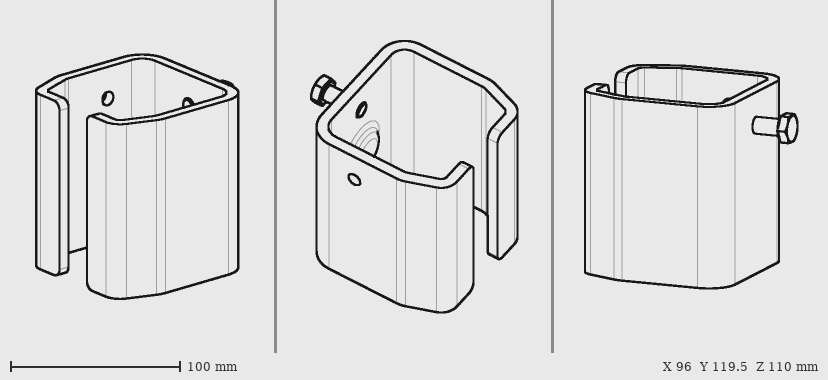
import cadquery as cq
import math

WIDTH = 96.0
DEPTH = 96.1
HEIGHT = 110.0
WALL = 7.0
BACK_BEND = 16.7
SIDE_BEND = 16.7
LIP_BEND = 11.1
TAPER_ANGLE = math.radians(20)
TAPER_START = 27.8
SLOT_WIDTH = 25.1
LIP_CORNER = 5.0
BEND_SEARCH = 0.7
CENTRE_X = 0.0
BACK_INNER = DEPTH - WALL

HOLE_DIAMETER = 8.4
HOLE_FROM_BACK = 35.0
FROM_TOP = 20.0
FEATURE_Z = HEIGHT - FROM_TOP

DIMPLE_TIP_DIAMETER = 19.1
DIMPLE_ROUND = 5.1
DIMPLE_CONE = 2.0

TOTAL_DEPTH = 119.5
SHANK_DIAMETER = 10.0
TIP_DIAMETER = 8.4
ACROSS_FLATS = 15.9
HEAD_HEIGHT = 5.7
COLLAR_DIAMETER = 14.6
COLLAR_HEIGHT = 0.7
HEAD_CHAMFER_ANGLE = math.radians(30)


def section(inset):
    """Closed, rounded section of the channel, inset from its outer surface."""
    half = WIDTH / 2 - inset
    front = inset
    back = DEPTH - inset
    taper_y = TAPER_START + inset * math.tan(TAPER_ANGLE / 2)
    front_half = half - (taper_y - front) * math.tan(TAPER_ANGLE)
    corners = [
        (front_half, front),
        (half, taper_y),
        (half, back),
        (-half, back),
        (-half, taper_y),
        (-front_half, front),
    ]
    solid = cq.Workplane("XY").polyline(corners).close().extrude(HEIGHT)
    solid = solid.edges("|Z").edges(">Y").fillet(BACK_BEND - inset)
    solid = solid.edges("|Z").edges("<Y").fillet(LIP_BEND - inset)
    side_bends = cq.selectors.BoxSelector(
        (-WIDTH, taper_y - BEND_SEARCH, 0), (WIDTH, taper_y + BEND_SEARCH, HEIGHT)
    )
    return solid.edges("|Z").edges(side_bends).fillet(SIDE_BEND - inset)


def make_slot():
    """Cutter for the front opening, flared by the rounded lip corners."""
    half = SLOT_WIDTH / 2
    arc = LIP_CORNER * math.sqrt(0.5)
    near = LIP_CORNER - arc
    wide = half + LIP_CORNER
    top = HEIGHT - LIP_CORNER
    return (
        cq.Workplane("XZ")
        .moveTo(-wide, 0)
        .lineTo(wide, 0)
        .threePointArc((half + near, near), (half, LIP_CORNER))
        .lineTo(half, top)
        .threePointArc((half + near, HEIGHT - near), (wide, HEIGHT))
        .lineTo(-wide, HEIGHT)
        .threePointArc((-half - near, HEIGHT - near), (-half, top))
        .lineTo(-half, LIP_CORNER)
        .threePointArc((-half - near, near), (-wide, 0))
        .close()
        .extrude(-WALL)
    )


def make_dimple():
    """Dimple rising from the inner back face toward -Y."""
    step = DIMPLE_ROUND * math.sin(math.pi / 4)
    drop = DIMPLE_ROUND - step
    mid_run = DIMPLE_ROUND * math.sin(math.pi / 8)
    mid_drop = DIMPLE_ROUND * (1 - math.cos(math.pi / 8))
    tip = DIMPLE_TIP_DIAMETER / 2
    base = tip + 2 * step + DIMPLE_CONE
    tip_y = BACK_INNER - 2 * drop - DIMPLE_CONE
    embed_y = BACK_INNER + WALL / 2
    profile = (
        cq.Workplane("XY")
        .moveTo(0, tip_y)
        .lineTo(tip, tip_y)
        .threePointArc((tip + mid_run, tip_y + mid_drop), (tip + step, tip_y + drop))
        .lineTo(base - step, BACK_INNER - drop)
        .threePointArc((base - mid_run, BACK_INNER - mid_drop), (base, BACK_INNER))
        .lineTo(base, embed_y)
        .lineTo(0, embed_y)
        .close()
    )
    dimple = profile.revolve(360, (0, 0, 0), (0, 1, 0))
    return dimple.translate((CENTRE_X, 0, HEIGHT / 2))


def make_channel():
    channel = section(0).cut(section(WALL)).cut(make_slot()).union(make_dimple())
    bolt_hole = (
        cq.Workplane("XZ", origin=(CENTRE_X, DEPTH, FEATURE_Z))
        .circle(SHANK_DIAMETER / 2)
        .extrude(WALL)
    )
    side_hole = (
        cq.Workplane("YZ", origin=(-WIDTH / 2, DEPTH - HOLE_FROM_BACK, FEATURE_Z))
        .circle(HOLE_DIAMETER / 2)
        .extrude(WALL)
    )
    return channel.cut(bolt_hole).cut(side_hole)


def make_bolt():
    """Hexagon bolt whose chamfered tip stands just inside the back wall."""
    tip_chamfer = (SHANK_DIAMETER - TIP_DIAMETER) / 2
    head_y = TOTAL_DEPTH - HEAD_HEIGHT
    tip_y = BACK_INNER - tip_chamfer
    corner_diameter = ACROSS_FLATS / math.cos(math.pi / 6)
    chamfer_width = (corner_diameter - ACROSS_FLATS) / 2
    chamfer_height = chamfer_width * math.tan(HEAD_CHAMFER_ANGLE)

    def base(y):
        return cq.Workplane("XZ", origin=(CENTRE_X, y, FEATURE_Z))

    head = base(TOTAL_DEPTH).polygon(6, corner_diameter).extrude(HEAD_HEIGHT)
    envelope = (
        base(TOTAL_DEPTH)
        .circle(corner_diameter / 2)
        .extrude(HEAD_HEIGHT)
        .faces(">Y")
        .chamfer(chamfer_height, chamfer_width)
    )
    head = head.intersect(envelope)
    collar = base(head_y).circle(COLLAR_DIAMETER / 2).extrude(COLLAR_HEIGHT)
    shank = base(head_y).circle(SHANK_DIAMETER / 2).extrude(head_y - tip_y)
    shank = shank.faces("<Y").chamfer(tip_chamfer)
    return head.union(collar).union(shank)


channel = make_channel()
bolt = make_bolt()
result = cq.Compound.makeCompound([channel.val(), bolt.val()])